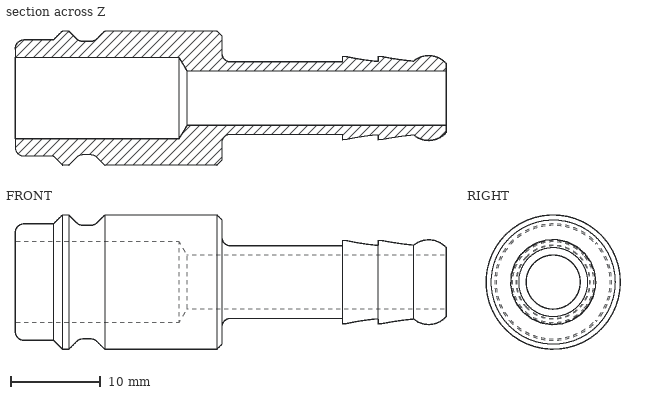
import cadquery as cq
import math

LENGTH = 48.0

NOSE_RADIUS = 13.0 / 2
NOSE_FILLET = 1.0
NOSE_END = 4.25

BODY_RADIUS = 15.0 / 2
COLLAR_LAND = 0.7
GROOVE_RADIUS = 12.65 / 2
GROOVE_FLOOR = 0.85
GROOVE_FILLET = 1.0
BODY_END = 23.05
BODY_CHAMFER = 0.6

STEM_RADIUS = 8.1 / 2
STEM_FILLET = 0.9
BARB_RADIUS = 4.65
BARB_LAND = 0.35
BARB_SAG = 0.05
BARB_ROOT_RADIUS = 4.15
FIRST_BARB_START = 36.45
FIRST_BARB_END = 40.05
SECOND_BARB_START = 40.4
TIP_START = 44.35
TIP_PEAK = 46.05
TIP_PEAK_RADIUS = 4.75
TIP_END_RADIUS = 3.85

PLUG_BORE_RADIUS = 9.0 / 2
HOSE_BORE_RADIUS = 6.0 / 2
PLUG_BORE_DEPTH = 18.25
DRILL_POINT_ANGLE = 118.0

COS_45 = math.sqrt(0.5)


def add_groove(profile, start):
    """Draw the locking groove from the collar edge up to the body."""
    fillet_run = GROOVE_FILLET * COS_45
    fillet_rise = GROOVE_FILLET * (1 - COS_45)
    mid_run = GROOVE_FILLET * math.sin(math.pi / 8)
    mid_rise = GROOVE_FILLET * (1 - math.cos(math.pi / 8))
    flank = BODY_RADIUS - GROOVE_RADIUS - fillet_rise
    floor_start = start + flank + fillet_run
    floor_end = floor_start + GROOVE_FLOOR
    fillet_top = GROOVE_RADIUS + fillet_rise
    body_start = floor_end + fillet_run + flank
    profile = (
        profile.lineTo(start + flank, fillet_top)
        .threePointArc((floor_start - mid_run, GROOVE_RADIUS + mid_rise), (floor_start, GROOVE_RADIUS))
        .lineTo(floor_end, GROOVE_RADIUS)
        .threePointArc((floor_end + mid_run, GROOVE_RADIUS + mid_rise), (floor_end + fillet_run, fillet_top))
        .lineTo(body_start, BODY_RADIUS)
    )
    return profile


def add_barb(profile, start, end):
    """Draw a barb: sharp step, short land, then a hollow taper down to its root."""
    taper_start = start + BARB_LAND
    taper_middle = (
        (taper_start + end) / 2,
        (BARB_RADIUS + BARB_ROOT_RADIUS) / 2 - BARB_SAG,
    )
    return (
        profile.lineTo(start, BARB_RADIUS)
        .lineTo(taper_start, BARB_RADIUS)
        .threePointArc(taper_middle, (end, BARB_ROOT_RADIUS))
    )


def make_outside():
    """Revolve the solid outer shape."""
    collar_start = NOSE_END + BODY_RADIUS - NOSE_RADIUS
    collar_end = collar_start + COLLAR_LAND
    nose_mid = NOSE_FILLET * (1 - COS_45)
    stem_mid = STEM_FILLET * (1 - COS_45)

    profile = (
        cq.Workplane("XY")
        .lineTo(0, NOSE_RADIUS - NOSE_FILLET)
        .threePointArc((nose_mid, NOSE_RADIUS - nose_mid), (NOSE_FILLET, NOSE_RADIUS))
        .lineTo(NOSE_END, NOSE_RADIUS)
        .lineTo(collar_start, BODY_RADIUS)
        .lineTo(collar_end, BODY_RADIUS)
    )
    profile = add_groove(profile, collar_end)
    profile = (
        profile.lineTo(BODY_END - BODY_CHAMFER, BODY_RADIUS)
        .lineTo(BODY_END, BODY_RADIUS - BODY_CHAMFER)
        .lineTo(BODY_END, STEM_RADIUS + STEM_FILLET)
        .threePointArc(
            (BODY_END + stem_mid, STEM_RADIUS + stem_mid),
            (BODY_END + STEM_FILLET, STEM_RADIUS),
        )
        .lineTo(FIRST_BARB_START, STEM_RADIUS)
    )
    profile = add_barb(profile, FIRST_BARB_START, FIRST_BARB_END)
    profile = profile.lineTo(SECOND_BARB_START, BARB_ROOT_RADIUS)
    profile = add_barb(profile, SECOND_BARB_START, TIP_START)
    profile = (
        profile.threePointArc((TIP_PEAK, TIP_PEAK_RADIUS), (LENGTH, TIP_END_RADIUS))
        .lineTo(LENGTH, 0)
        .close()
    )
    return profile.revolve(360, (0, 0, 0), (1, 0, 0))


def make_bore():
    """Revolve the wide plug bore, its drill-point shoulder and the narrow hose bore."""
    shoulder_run = (PLUG_BORE_RADIUS - HOSE_BORE_RADIUS) / math.tan(math.radians(DRILL_POINT_ANGLE / 2))
    shoulder_end = PLUG_BORE_DEPTH + shoulder_run
    return (
        cq.Workplane("XY")
        .lineTo(0, PLUG_BORE_RADIUS)
        .lineTo(PLUG_BORE_DEPTH, PLUG_BORE_RADIUS)
        .lineTo(shoulder_end, HOSE_BORE_RADIUS)
        .lineTo(LENGTH, HOSE_BORE_RADIUS)
        .lineTo(LENGTH, 0)
        .close()
        .revolve(360, (0, 0, 0), (1, 0, 0))
    )


result = make_outside().cut(make_bore())